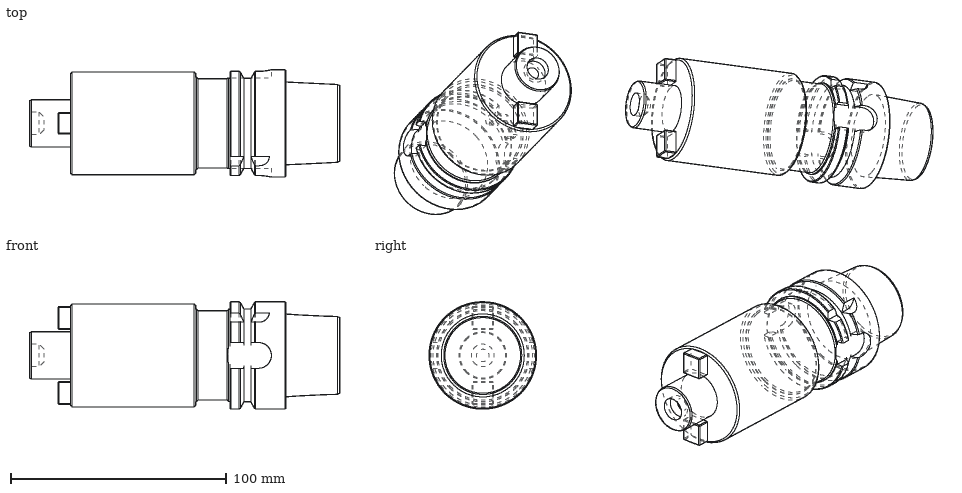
import cadquery as cq

LENGTH = 144.0

STUB_RADIUS = 22.0 / 2
STUB_CHAMFER = 0.9
HOLE_MOUTH_RADIUS = 10.5 / 2
HOLE_BOTTOM_RADIUS = 2.9
HOLE_BORE_DEPTH = 4.3
HOLE_CONE_DEPTH = HOLE_MOUTH_RADIUS - HOLE_BOTTOM_RADIUS

BODY_START = 18.9
BODY_END = 77.2
BODY_RADIUS = 48.0 / 2
BODY_CHAMFER = 0.9

NECK_RADIUS = 41.6 / 2
NECK_COLLAR_RADIUS = 21.5
COLLAR_CHAMFER = NECK_COLLAR_RADIUS - NECK_RADIUS
NECK_START = 78.2
NECK_END = 91.7

FLANGE_START = 93.0
FLANGE_END = 119.0
FLANGE_RADIUS = 50.0 / 2
FLANGE_CHAMFER = 0.5
GROOVE_START = 97.6
GROOVE_END = 104.5
GROOVE_WALL_LENGTH = 1.9
GROOVE_RADIUS = 21.6
GROOVE_RIM_CHAMFER = 0.5

TAPER_LARGE_RADIUS = 19.3
TAPER_SMALL_RADIUS = 18.1
TAPER_CHAMFER = 1.2

KEY_START = 13.1
KEY_WIDTH = 10.0
KEY_INNER = 12.1
KEY_OUTER = 22.8
KEY_CHAMFER = 0.5

SLOT_WIDTH = 12.0
SLOT_FLOOR = 21.0
SLOT_CENTER = 106.3

NOTCH_CUTTER_RADIUS = 10.0 / 2
NOTCH_CENTER = 106.4
NOTCH_OFFSET = 15.4


def turned_body():
    """Revolve the half profile (distance along X, radius) about the X axis."""
    rim_radius = FLANGE_RADIUS - GROOVE_RIM_CHAMFER
    rim_shift = GROOVE_RIM_CHAMFER * GROOVE_WALL_LENGTH / (FLANGE_RADIUS - GROOVE_RADIUS)
    profile = [
        (0, 0),
        (0, STUB_RADIUS - STUB_CHAMFER / 2),
        (STUB_CHAMFER, STUB_RADIUS),
        (BODY_START, STUB_RADIUS),
        (BODY_START, BODY_RADIUS - BODY_CHAMFER),
        (BODY_START + BODY_CHAMFER, BODY_RADIUS),
        (BODY_END - BODY_CHAMFER, BODY_RADIUS),
        (BODY_END, BODY_RADIUS - BODY_CHAMFER),
        (BODY_END, NECK_COLLAR_RADIUS),
        (NECK_START - COLLAR_CHAMFER, NECK_COLLAR_RADIUS),
        (NECK_START, NECK_RADIUS),
        (NECK_END, NECK_RADIUS),
        (NECK_END + COLLAR_CHAMFER, NECK_COLLAR_RADIUS),
        (FLANGE_START, NECK_COLLAR_RADIUS),
        (FLANGE_START, FLANGE_RADIUS - FLANGE_CHAMFER),
        (FLANGE_START + FLANGE_CHAMFER, FLANGE_RADIUS),
        (GROOVE_START - GROOVE_RIM_CHAMFER, FLANGE_RADIUS),
        (GROOVE_START + rim_shift, rim_radius),
        (GROOVE_START + GROOVE_WALL_LENGTH, GROOVE_RADIUS),
        (GROOVE_END - GROOVE_WALL_LENGTH, GROOVE_RADIUS),
        (GROOVE_END - rim_shift, rim_radius),
        (GROOVE_END + GROOVE_RIM_CHAMFER, FLANGE_RADIUS),
        (FLANGE_END - FLANGE_CHAMFER, FLANGE_RADIUS),
        (FLANGE_END, FLANGE_RADIUS - FLANGE_CHAMFER),
        (FLANGE_END, TAPER_LARGE_RADIUS),
        (LENGTH - TAPER_CHAMFER, TAPER_SMALL_RADIUS),
        (LENGTH, TAPER_SMALL_RADIUS - TAPER_CHAMFER / 2),
        (LENGTH, 0),
    ]
    return cq.Workplane("XY").polyline(profile).close().revolve(360, (0, 0, 0), (1, 0, 0))


def centre_hole():
    """Straight bore followed by a cone down to a flat bottom."""
    hole_depth = HOLE_BORE_DEPTH + HOLE_CONE_DEPTH
    profile = [
        (0, 0),
        (0, HOLE_MOUTH_RADIUS),
        (HOLE_BORE_DEPTH, HOLE_MOUTH_RADIUS),
        (hole_depth, HOLE_BOTTOM_RADIUS),
        (hole_depth, 0),
    ]
    return cq.Workplane("XY").polyline(profile).close().revolve(360, (0, 0, 0), (1, 0, 0))


def driving_key(side):
    """Key on the +Z (side = 1) or -Z (side = -1) half of the front face."""
    height = KEY_OUTER - KEY_INNER
    depth = BODY_START - KEY_START
    key = cq.Workplane("XY").box(depth, KEY_WIDTH, height).edges("<X or |X").chamfer(KEY_CHAMFER)
    return key.translate((KEY_START + depth / 2, 0, side * (KEY_INNER + KEY_OUTER) / 2))


def milled_slot(center_x, center_z, radius, floor):
    """Cutter path along X, open at the neck, reaching from y = -floor out to the -Y side."""
    run = center_x - NECK_END
    depth = FLANGE_RADIUS - floor
    path = cq.Workplane("XZ", origin=(0, -floor, 0)).center(center_x, center_z)
    channel = path.center(-run / 2, 0).rect(run, 2 * radius).extrude(depth)
    return channel.union(path.circle(radius).extrude(depth))


result = turned_body().cut(centre_hole())
for side in (1, -1):
    result = result.union(driving_key(side))

flange_slot = milled_slot(SLOT_CENTER, 0, SLOT_WIDTH / 2, SLOT_FLOOR)
result = result.cut(flange_slot).cut(flange_slot.mirror("XZ"))

notch_center_z = NOTCH_OFFSET + NOTCH_CUTTER_RADIUS
result = result.cut(milled_slot(NOTCH_CENTER, notch_center_z, NOTCH_CUTTER_RADIUS, NOTCH_OFFSET))